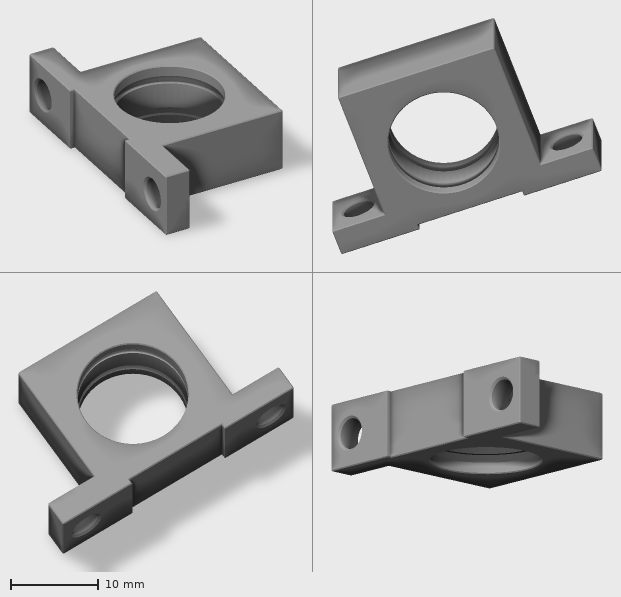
import cadquery as cq

flange_length = 31.75
block_width = 19.05
depth = 19.05
height = 7.87
flange_thickness = 3.2
edge_chamfer = 0.13

relief_width = 12.73
relief_depth = 0.6

bore_diameter = 12.73
bore_chamfer = 0.13
groove_diameter = 13.72
groove_width = 1.02
groove_offset = 1.33
bore_center_y = depth / 2

mount_hole_diameter = 3.6
mount_hole_spacing = 25.4
mount_hole_chamfer = 0.25


def make_body():
    """T-shaped body with its outer corners and its top and bottom rims chamfered; mounting face at Y = 0."""
    half_flange = flange_length / 2
    half_block = block_width / 2
    half_relief = relief_width / 2
    outline = [
        (-half_flange, 0),
        (-half_relief, 0),
        (-half_relief, relief_depth),
        (half_relief, relief_depth),
        (half_relief, 0),
        (half_flange, 0),
        (half_flange, flange_thickness),
        (half_block, flange_thickness),
        (half_block, depth),
        (-half_block, depth),
        (-half_block, flange_thickness),
        (-half_flange, flange_thickness),
    ]
    body = cq.Workplane("XY").polyline(outline).close().extrude(height)
    body = body.edges("|Z and (<X or >X or >Y)").chamfer(edge_chamfer)
    return body.faces("<Z or >Z").edges().chamfer(edge_chamfer)


def chamfered_hole(diameter, length, chamfer):
    """Solid of a through hole along Z, flared by the chamfer at both ends."""
    radius = diameter / 2
    profile = [
        (0, 0),
        (radius + chamfer, 0),
        (radius, chamfer),
        (radius, length - chamfer),
        (radius + chamfer, length),
        (0, length),
    ]
    return cq.Workplane("XZ").polyline(profile).close().revolve(360, (0, 0), (0, 1))


def make_bore():
    """Main bore and its grooves, placed symmetrically about mid-height."""
    bore = chamfered_hole(bore_diameter, height, bore_chamfer)
    for groove_bottom in (groove_offset, height - groove_offset - groove_width):
        groove = cq.Workplane("XY", origin=(0, 0, groove_bottom)).circle(groove_diameter / 2)
        bore = bore.union(groove.extrude(groove_width))
    return bore.translate((0, bore_center_y, 0))


def make_mount_hole(x):
    """Mounting hole running along Y through one end of the flange."""
    hole = chamfered_hole(mount_hole_diameter, flange_thickness, mount_hole_chamfer)
    return hole.rotate((0, 0, 0), (1, 0, 0), -90).translate((x, 0, height / 2))


result = make_body().cut(make_bore())
for side in (-1, 1):
    result = result.cut(make_mount_hole(side * mount_hole_spacing / 2))